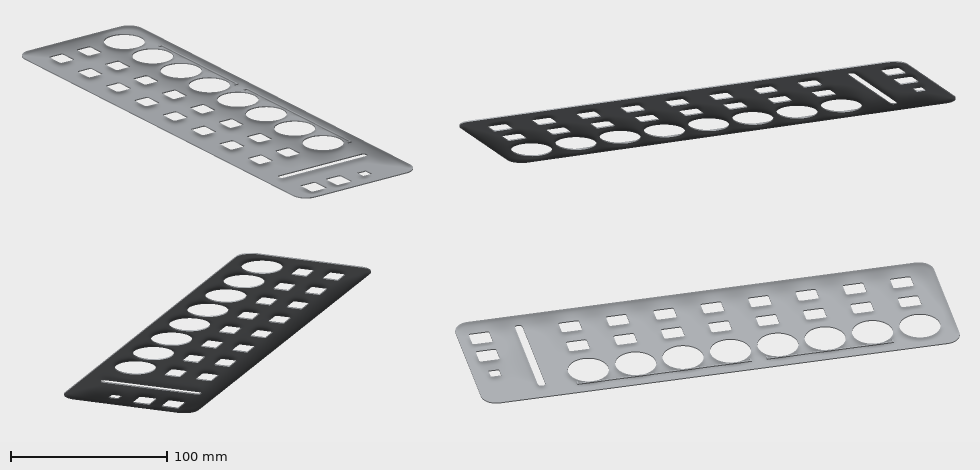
import cadquery as cq

LENGTH = 314
WIDTH = 92.0
PLATE_THICKNESS = 0.8
TOTAL_HEIGHT = 1.6
CORNER_RADIUS = 10.0
LEFT = -LENGTH / 2
BACK = WIDTH / 2

COLUMN_COUNT = 8
COLUMN_PITCH = 31.0
FIRST_COLUMN_X = LEFT + 23.0
HOLE_DIAMETER = 26.5
HOLE_Y = BACK - 23.0
WINDOW_SHIFT = 0.3
WINDOW_LENGTH = 13.5
WINDOW_WIDTH = 11.0
UPPER_WINDOW_Y = BACK - 51.0
LOWER_WINDOW_Y = BACK - 72.5
WINDOW_RADIUS = 1.3

SLOT_X = LEFT + 273.2
SLOT_Y = BACK - 46.8
SLOT_LENGTH = 69.5
SLOT_WIDTH = 5.0

END_COLUMN_X = LEFT + 299.5
SQUARE_SIZE = 7.0
SQUARE_Y = BACK - 32.5
END_WINDOW_WIDTH = 12.0
UPPER_END_WINDOW_Y = BACK - 53.0
LOWER_END_WINDOW_Y = BACK - 73.0

BRACKET_Y = BACK - 8.0
BRACKET_DEPTH = 2.8
BRACKET_LINE = 1.0
BRACKET_OVERHANG = 10.7
BRACKET_GROUPS = [(2, 4), (5, 8)]


def column_x(number):
    """X of a column, counted from 1 at the left."""
    return FIRST_COLUMN_X + (number - 1) * COLUMN_PITCH


def window(x, y, length, width):
    """Cutter for a rectangular opening with rounded corners."""
    block = cq.Workplane("XY").center(x, y).rect(length, width).extrude(PLATE_THICKNESS)
    return block.edges("|Z").fillet(WINDOW_RADIUS)


def bracket(first_column, last_column):
    """Raised line behind a group of holes with a short leg at each end."""
    start = column_x(first_column) - BRACKET_OVERHANG
    end = column_x(last_column) + BRACKET_OVERHANG
    leg_end = BRACKET_Y - BRACKET_DEPTH
    line_bottom = BRACKET_Y - BRACKET_LINE
    outline = [
        (start, BRACKET_Y),
        (end, BRACKET_Y),
        (end, leg_end),
        (end - BRACKET_LINE, leg_end),
        (end - BRACKET_LINE, line_bottom),
        (start + BRACKET_LINE, line_bottom),
        (start + BRACKET_LINE, leg_end),
        (start, leg_end),
    ]
    return cq.Workplane("XY").polyline(outline).close().extrude(TOTAL_HEIGHT)


plate = cq.Workplane("XY").rect(LENGTH, WIDTH).extrude(PLATE_THICKNESS)
plate = plate.edges("|Z").fillet(CORNER_RADIUS)

for first_column, last_column in BRACKET_GROUPS:
    plate = plate.union(bracket(first_column, last_column))

for number in range(1, COLUMN_COUNT + 1):
    x = column_x(number)
    hole = cq.Workplane("XY").center(x, HOLE_Y).circle(HOLE_DIAMETER / 2).extrude(TOTAL_HEIGHT)
    plate = plate.cut(hole)
    for y in (UPPER_WINDOW_Y, LOWER_WINDOW_Y):
        plate = plate.cut(window(x + WINDOW_SHIFT, y, WINDOW_LENGTH, WINDOW_WIDTH))

slot = cq.Workplane("XY").center(SLOT_X, SLOT_Y).slot2D(SLOT_LENGTH, SLOT_WIDTH, 90)
plate = plate.cut(slot.extrude(PLATE_THICKNESS))

square = cq.Workplane("XY").center(END_COLUMN_X, SQUARE_Y).rect(SQUARE_SIZE, SQUARE_SIZE)
plate = plate.cut(square.extrude(PLATE_THICKNESS))
for y in (UPPER_END_WINDOW_Y, LOWER_END_WINDOW_Y):
    plate = plate.cut(window(END_COLUMN_X, y, WINDOW_LENGTH, END_WINDOW_WIDTH))

result = plate